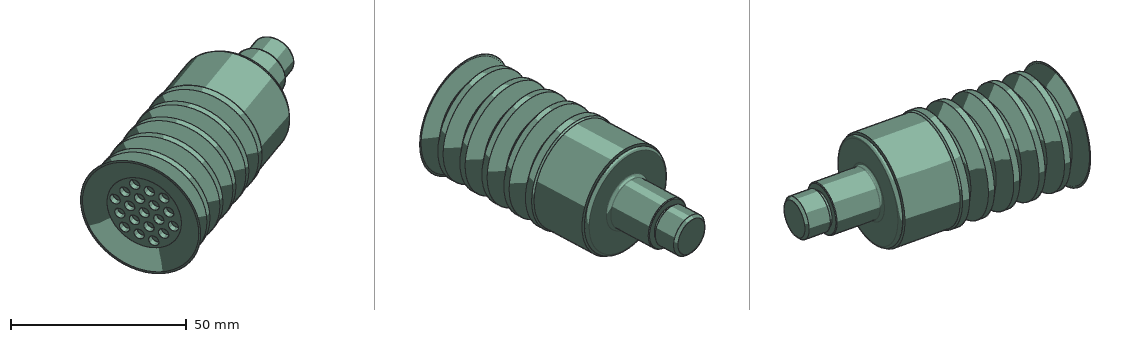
import cadquery as cq
import math

total_length = 87.1

stub_radius = 13.15 / 2
stub_chamfer = 0.9
stub_start = 79.2
neck_radius = 11.4 / 2
shaft_radius = 16.0 / 2
shaft_end = 78.0
shaft_chamfer = 0.3
shaft_fillet = 0.9

body_radius = 35.0 / 2
body_start = 42.6
body_end = 61.0
collar_radius = 17.0
collar_end = 62.5
bead_radius = (collar_end - body_end) / 2

ring_count = 5
ring_pitch = 8.45
ring_radius = 36.0 / 2
ring_width = 2.0
first_ring_start = 6.1
last_ring_start = 39.7
last_ring_end = 42.1
groove_radius = 27.35 / 2
first_groove = 2.9

lip_radius = 38.0 / 2
recess_radius = 18.4
recess_floor_radius = 11.8
recess_depth = 2.35

hole_diameter = 3.2
hole_pitch = 4.7
hole_depth = 2.0
grid_rings = 2
grid_angle = -11.3


def bellows_points():
    """Radius and Y of the bellows outline, from the lip to the last ring."""
    points = [(lip_radius, 0)]
    for index in range(ring_count):
        offset = index * ring_pitch
        ring_start = first_ring_start + offset
        ring_end = ring_start + ring_width
        if index == ring_count - 1:
            ring_start = last_ring_start
            ring_end = last_ring_end
        points += [
            (groove_radius, first_groove + offset),
            (ring_radius, ring_start),
            (ring_radius, ring_end),
        ]
    return points


def turned_part():
    """Solid of revolution, including the conical recess inside the lip."""
    diagonal = math.sqrt(0.5)
    recess_points = [
        (0, recess_depth),
        (recess_floor_radius, recess_depth),
        (recess_radius, 0),
    ]
    profile = (
        cq.Workplane("XY")
        .polyline(recess_points + bellows_points())
        .lineTo(body_radius, body_start)
        .lineTo(body_radius, body_end)
        .lineTo(collar_radius - bead_radius, body_end)
        .threePointArc(
            (collar_radius, body_end + bead_radius),
            (collar_radius - bead_radius, collar_end),
        )
        .lineTo(shaft_radius + shaft_fillet, collar_end)
        .threePointArc(
            (
                shaft_radius + shaft_fillet * (1 - diagonal),
                collar_end + shaft_fillet * (1 - diagonal),
            ),
            (shaft_radius, collar_end + shaft_fillet),
        )
        .lineTo(shaft_radius, shaft_end - shaft_chamfer)
        .lineTo(shaft_radius - shaft_chamfer, shaft_end)
        .lineTo(neck_radius, shaft_end)
        .lineTo(neck_radius, stub_start)
        .lineTo(stub_radius, stub_start)
        .lineTo(stub_radius, total_length - stub_chamfer)
        .lineTo(stub_radius - stub_chamfer, total_length)
        .lineTo(0, total_length)
        .close()
    )
    return profile.revolve(360, (0, 0, 0), (0, 1, 0))


def hole_centres():
    """X and Z of every hole: a turned hexagonal grid around the axis."""
    turn = math.radians(grid_angle)
    centres = []
    for row in range(-grid_rings, grid_rings + 1):
        for column in range(-grid_rings, grid_rings + 1):
            if abs(row + column) > grid_rings:
                continue
            along = hole_pitch * (column + row / 2)
            across = hole_pitch * row * math.sin(math.radians(60))
            x = along * math.cos(turn) - across * math.sin(turn)
            z = along * math.sin(turn) + across * math.cos(turn)
            centres.append((x, z))
    return centres


def suction_holes():
    """Cylinders reaching from the lip plane to the bottom of the holes."""
    return (
        cq.Workplane("XZ")
        .pushPoints(hole_centres())
        .circle(hole_diameter / 2)
        .extrude(-(recess_depth + hole_depth))
    )


result = turned_part().cut(suction_holes())